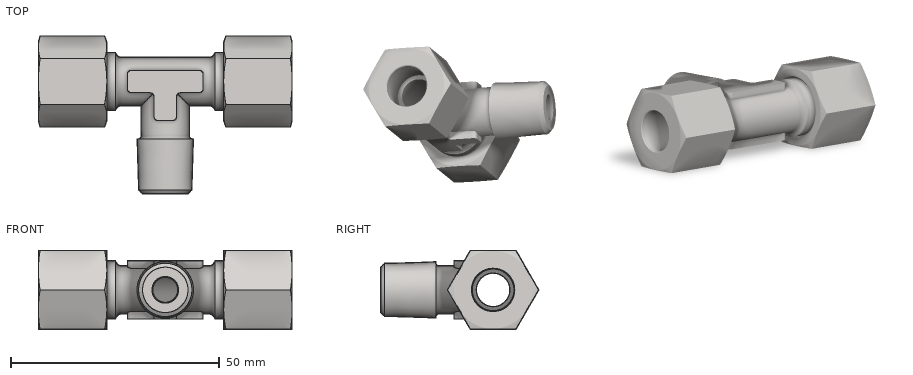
import cadquery as cq
import math


overall_length = 61.0
tube_radius = 11.67 / 2
run_bore_radius = 8.0 / 2
branch_bore_radius = 6.0 / 2
branch_length = 27.0
branch_bore_edge_break = 0.2

nut_across_flats = 19.0
nut_length = 16.5
nut_outer_chamfer_angle = math.radians(15)
nut_inner_chamfer_angle = math.radians(20)
nut_end_face_radius = 9.4
nut_countersink = 0.5
socket_radius = 10.0 / 2
socket_depth = 10.0
socket_edge_break = 0.2
edge_break_angle = 45

collar_radius = 14.0 / 2
collar_end = 12.0
collar_bevel_angle = math.radians(60)
collar_fillet_radius = 1.25

thread_start = 13.77
thread_root_fillet = 0.7
thread_start_radius = 6.79
thread_taper = 1 / 32
thread_end_chamfer = 0.95

pad_height = collar_radius
pad_bar_length = 18.2
pad_width = 5.4
pad_stem_reach = 9.4
pad_corner_radius = 1.0

half_length = overall_length / 2
nut_inner_face = half_length - nut_length
nut_corner_radius = nut_across_flats / 2 / math.cos(math.pi / 6)

bevel_radius = tube_radius + collar_fillet_radius * (1 - math.cos(collar_bevel_angle))
bevel_end = collar_end - (collar_radius - bevel_radius) / math.tan(collar_bevel_angle)
run_tube_end = bevel_end - collar_fillet_radius * math.sin(collar_bevel_angle)


def mirrored_pair(solid):
    """Join a solid on the +X side with its mirror image on the -X side."""
    return solid.union(solid.mirror("YZ"))


def make_nut():
    """Hex nut on +X, flats facing +Z and -Z, with turned-down ends and an inner countersink."""
    hexagon = (
        cq.Workplane("YZ", origin=(nut_inner_face, 0, 0))
        .polygon(6, 2 * nut_corner_radius)
        .extrude(nut_length)
    )
    envelope_radius = nut_across_flats
    turned_width = envelope_radius - nut_end_face_radius
    inner_drop = turned_width * math.tan(nut_inner_chamfer_angle)
    outer_drop = turned_width * math.tan(nut_outer_chamfer_angle)
    countersink_radius = collar_radius + nut_countersink
    envelope = (
        cq.Workplane("XY")
        .moveTo(nut_inner_face + nut_countersink, 0)
        .lineTo(nut_inner_face + nut_countersink, collar_radius)
        .lineTo(nut_inner_face, countersink_radius)
        .lineTo(nut_inner_face, nut_end_face_radius)
        .lineTo(nut_inner_face + inner_drop, envelope_radius)
        .lineTo(half_length - outer_drop, envelope_radius)
        .lineTo(half_length, nut_end_face_radius)
        .lineTo(half_length, 0)
        .close()
        .revolve(360, (0, 0, 0), (1, 0, 0))
    )
    return hexagon.intersect(envelope)


def make_collar():
    """Collar on +X, running into the nut and blended down onto the run tube."""
    seat_end = nut_inner_face + nut_length / 2
    return (
        cq.Workplane("XY")
        .moveTo(run_tube_end, 0)
        .lineTo(run_tube_end, tube_radius)
        .radiusArc((bevel_end, bevel_radius), -collar_fillet_radius)
        .lineTo(collar_end, collar_radius)
        .lineTo(seat_end, collar_radius)
        .lineTo(seat_end, 0)
        .close()
        .revolve(360, (0, 0, 0), (1, 0, 0))
    )


def make_run_tube():
    """Straight tube between the two collar blends."""
    return cq.Workplane("YZ").circle(tube_radius).extrude(run_tube_end, both=True)


def make_branch():
    """Branch tube along -Y ending in the tapered, chamfered thread envelope."""
    chamfer_start = branch_length - thread_end_chamfer
    chamfer_radius = thread_start_radius - (chamfer_start - thread_start) * thread_taper
    return (
        cq.Workplane("XY")
        .lineTo(tube_radius, 0)
        .lineTo(tube_radius, -(thread_start - thread_root_fillet))
        .tangentArcPoint((tube_radius + thread_root_fillet, -thread_start), relative=False)
        .lineTo(thread_start_radius, -thread_start)
        .lineTo(chamfer_radius, -chamfer_start)
        .lineTo(chamfer_radius - thread_end_chamfer, -branch_length)
        .lineTo(0, -branch_length)
        .close()
        .revolve(360, (0, 0, 0), (0, 1, 0))
    )


def make_pads():
    """T-shaped plate whose top and bottom stand out of the tubes as flat pads."""
    bar = cq.Workplane("XY").rect(pad_bar_length, pad_width).extrude(pad_height, both=True)
    stem = (
        cq.Workplane("XY")
        .center(0, -pad_stem_reach / 2)
        .rect(pad_width, pad_stem_reach)
        .extrude(pad_height, both=True)
    )
    return bar.union(stem).edges("|Z").fillet(pad_corner_radius)


def make_bore(plane, face_distance, radius, depth, edge_break):
    """Cutter entering from a face at the given distance, with a conical edge break."""
    face = cq.Workplane(plane).workplane(offset=face_distance)
    hole = face.circle(radius).extrude(-depth)
    mouth = face.circle(radius + edge_break).extrude(-edge_break, taper=edge_break_angle)
    return hole.union(mouth)


def make_bores():
    """Through bore of the run, the two tube sockets and the branch bore."""
    run_bore = cq.Workplane("YZ").circle(run_bore_radius).extrude(half_length, both=True)
    socket = make_bore("YZ", half_length, socket_radius, socket_depth, socket_edge_break)
    branch_bore = make_bore(
        "XZ", branch_length, branch_bore_radius, branch_length, branch_bore_edge_break
    )
    return run_bore.union(mirrored_pair(socket)).union(branch_bore)


body = make_run_tube().union(mirrored_pair(make_collar().union(make_nut())))
body = body.union(make_branch()).union(make_pads())
result = body.cut(make_bores())